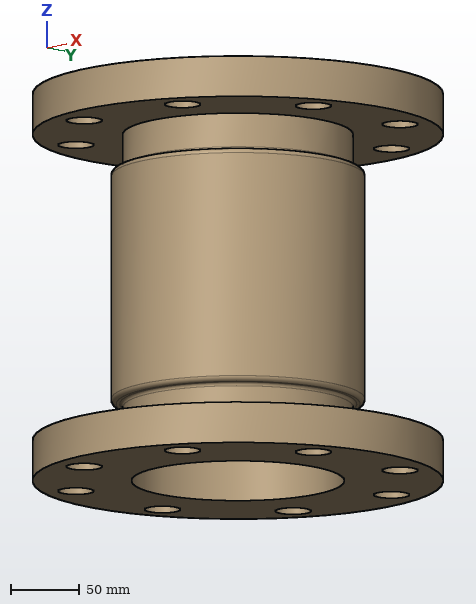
import cadquery as cq

flange_diameter = 300.0
flange_thickness = 30.0
total_length = 287.0

bore_diameter = 155.5
neck_diameter = 168.3

sleeve_diameter = 185.5
sleeve_length = 172.8
sleeve_rim_radius = 3.5
neck_fillet_radius = 2.5

bolt_hole_count = 8
bolt_hole_diameter = 26.0
bolt_circle_diameter = 250.0

flange_radius = flange_diameter / 2
bore_radius = bore_diameter / 2
neck_radius = neck_diameter / 2
sleeve_radius = sleeve_diameter / 2
flange_face = total_length / 2
flange_back = flange_face - flange_thickness
sleeve_end = sleeve_length / 2


def flanged_pipe():
    """Body of revolution: two flanges, the pipe between them and the rounded sleeve."""
    end_face_radius = sleeve_radius - sleeve_rim_radius
    rim_start = sleeve_end - sleeve_rim_radius
    fillet_foot_radius = neck_radius + neck_fillet_radius
    fillet_end = sleeve_end + neck_fillet_radius

    profile = (
        cq.Workplane("XZ")
        .moveTo(bore_radius, -flange_face)
        .lineTo(flange_radius, -flange_face)
        .lineTo(flange_radius, -flange_back)
        .lineTo(neck_radius, -flange_back)
        .lineTo(neck_radius, -fillet_end)
        .radiusArc((fillet_foot_radius, -sleeve_end), neck_fillet_radius)
        .lineTo(end_face_radius, -sleeve_end)
        .radiusArc((sleeve_radius, -rim_start), -sleeve_rim_radius)
        .lineTo(sleeve_radius, rim_start)
        .radiusArc((end_face_radius, sleeve_end), -sleeve_rim_radius)
        .lineTo(fillet_foot_radius, sleeve_end)
        .radiusArc((neck_radius, fillet_end), neck_fillet_radius)
        .lineTo(neck_radius, flange_back)
        .lineTo(flange_radius, flange_back)
        .lineTo(flange_radius, flange_face)
        .lineTo(bore_radius, flange_face)
        .close()
    )
    return profile.revolve(360, (0, 0, 0), (0, 1, 0))


def bolt_holes():
    """Ring of holes through both flanges, straddling the X and Y axes."""
    half_step = 360 / bolt_hole_count / 2
    return (
        cq.Workplane("XY")
        .workplane(offset=-flange_face)
        .polarArray(bolt_circle_diameter / 2, half_step, 360, bolt_hole_count)
        .circle(bolt_hole_diameter / 2)
        .extrude(total_length)
    )


result = flanged_pipe().cut(bolt_holes())